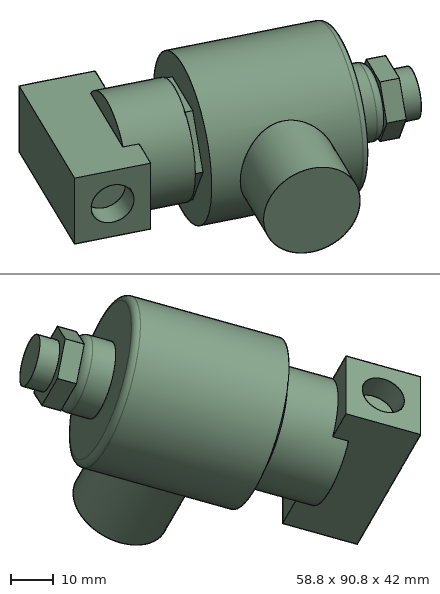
import cadquery as cq


BLOCK_LENGTH = 40.0
BLOCK_HEIGHT = 18.9
BLOCK_DEPTH = 18.9
PORT_DIAMETER = 10.6
PORT_DEPTH = 6.3

NECK_DIAMETER = 30.0
NECK_START = 14.9
NECK_END = 31.7

COLLAR_CORNERS = 29.4
COLLAR_END = 33.7

COIL_DIAMETER = 42.0
COIL_END = 72.95
COIL_ROUNDING = 1.6
CONDUIT_DIAMETER = 24.0
CONDUIT_CENTRE = 52.8
CONDUIT_REACH = 37.8

CAP_DIAMETER = 19.0
CAP_END = 81.0
CAP_ROUNDING = 2.3
NUT_CORNERS = 19.7
NUT_END = 85.85
STUB_DIAMETER = 12.7
TOTAL_LENGTH = 90.85


def plane_across(y):
    """Plane square to the valve axis, with local x along X and its normal along +Y."""
    return cq.Plane(origin=(0, y, 0), xDir=(1, 0, 0), normal=(0, 1, 0))


def round_section(diameter, start, end):
    return cq.Workplane(plane_across(start)).circle(diameter / 2).extrude(end - start)


def hex_section(corners, start, end):
    """Hexagonal prism with two of its corners on the X direction."""
    return cq.Workplane(plane_across(start)).polygon(6, corners).extrude(end - start)


def make_valve_body():
    """Ported block, round neck and hexagonal collar."""
    block = cq.Workplane("XY").box(
        BLOCK_LENGTH, BLOCK_DEPTH, BLOCK_HEIGHT, centered=(True, False, True)
    )
    body = block.union(round_section(NECK_DIAMETER, NECK_START, NECK_END))
    body = body.union(hex_section(COLLAR_CORNERS, NECK_END, COLLAR_END))

    for side in (-1, 1):
        port = (
            cq.Workplane("YZ", origin=(side * BLOCK_LENGTH / 2, BLOCK_DEPTH / 2, 0))
            .circle(PORT_DIAMETER / 2)
            .extrude(-side * PORT_DEPTH)
        )
        body = body.cut(port)
    return body


def make_coil():
    """Coil housing with side conduit, rounded cap, nut and stub."""
    housing = round_section(COIL_DIAMETER, COLLAR_END, COIL_END)
    housing = housing.faces(">Y").edges().fillet(COIL_ROUNDING)
    conduit = (
        cq.Workplane("YZ", origin=(0, CONDUIT_CENTRE, 0))
        .circle(CONDUIT_DIAMETER / 2)
        .extrude(CONDUIT_REACH)
    )
    cap = round_section(CAP_DIAMETER, COIL_END, CAP_END)
    cap = cap.faces(">Y").edges().fillet(CAP_ROUNDING)
    nut = hex_section(NUT_CORNERS, CAP_END, NUT_END)
    stub = round_section(STUB_DIAMETER, NUT_END, TOTAL_LENGTH)
    return housing.union(conduit).union(cap).union(nut).union(stub)


valve_body = make_valve_body()
coil = make_coil()
result = cq.Compound.makeCompound([valve_body.val(), coil.val()])